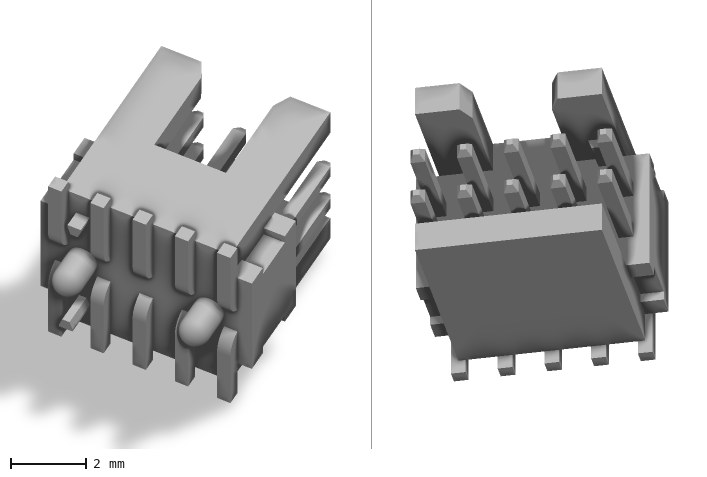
import cadquery as cq

pitch = 1.27
columns = 5
body_width = (columns - 1) * pitch
body_height = 4 * pitch
body_length = 5.715

block_width = body_width + pitch
block_height = 3.43
block_length = 2.52
notch_length = pitch
notch_depth = 0.25
notch_start = (block_length - notch_length) / 2

slot_width = 2.16
slot_mouth_width = 2.67
flare_length = 0.5

pin_size = 0.4
pin_tip_size = 0.17
pin_end = 5.555
taper_length = 0.22
row_height = pitch / 2
tail_reach = 2.92
bend_height = 0.6

peg_diameter = 0.88
peg_length = 1.265
peg_offset = 1.5 * pitch

key_wide = 0.4
key_narrow = 0.22
key_inner_height = 1.47
key_outer_height = 1.80
key_taper_height = block_height / 2
key_length = 3.98
upper_key_front = -0.5
lower_key_front = -0.975


def box(width, length, height, front=0.0, center_x=0.0, center_z=0.0):
    """Box centred in X and Z that starts at Y = front."""
    corner_box = cq.Workplane("XY").box(width, length, height, centered=(True, False, True))
    return corner_box.translate((center_x, front, center_z))


def make_shell():
    """Upper and lower walls joined by the block, with the block's side notches."""
    block = box(block_width, block_length, block_height)
    side_width = (block_width - body_width) / 2
    for side in (-1, 1):
        for level in (-1, 1):
            notch = box(
                side_width,
                notch_length,
                notch_depth,
                front=notch_start,
                center_x=side * (body_width + side_width) / 2,
                center_z=level * (block_height - notch_depth) / 2,
            )
            block = block.cut(notch)

    wall_thickness = (body_height - block_height) / 2
    wall_center = (body_height + block_height) / 4
    for level in (-1, 1):
        wall = box(body_width, body_length, wall_thickness, center_z=level * wall_center)
        block = block.union(wall)
    return block


def make_slot():
    """Flared slot that opens the mating end of the upper wall."""
    half_slot = slot_width / 2
    half_mouth = slot_mouth_width / 2
    flare_start = body_length - flare_length
    outline = [
        (-half_slot, block_length),
        (half_slot, block_length),
        (half_slot, flare_start),
        (half_mouth, body_length),
        (-half_mouth, body_length),
        (-half_slot, flare_start),
    ]
    return cq.Workplane("XY").polyline(outline).close().extrude(body_height / 2)


def make_peg():
    """Locating peg with a hemispherical end, pointing along -Y from the mounting face."""
    radius = peg_diameter / 2
    return (
        cq.Workplane("XY")
        .lineTo(-radius, 0)
        .lineTo(-radius, radius - peg_length)
        .radiusArc((0, -peg_length), -radius)
        .close()
        .revolve(360, (0, 0), (0, 1))
    )


def make_contact():
    """Mating pin and soldering tail of one upper-row contact at X = 0, as two pieces."""
    taper_start = pin_end - taper_length
    shank = box(pin_size, taper_start - block_length, pin_size, front=block_length, center_z=row_height)
    tip = (
        shank.faces(">Y")
        .workplane(centerOption="CenterOfBoundBox")
        .rect(pin_size, pin_size)
        .workplane(offset=taper_length)
        .rect(pin_tip_size, pin_tip_size)
        .loft(combine=False)
    )

    bend_bottom = row_height - pin_size / 2
    bend_top = bend_bottom + bend_height
    bend_radius = (bend_height**2 + pin_size**2) / (2 * pin_size)
    tail = (
        cq.Workplane("YZ")
        .moveTo(0, bend_bottom)
        .radiusArc((-pin_size, bend_top), bend_radius)
        .lineTo(-pin_size, tail_reach)
        .lineTo(0, tail_reach)
        .close()
        .extrude(pin_size / 2, both=True)
    )
    return shank.union(tip), tail


def make_housing():
    """Shell with its pegs and two mirrored rows of contacts, as one solid."""
    housing = make_shell().cut(make_slot())
    for side in (-1, 1):
        housing = housing.union(make_peg().translate((side * peg_offset, 0, 0)))
    for column in range(columns):
        x = (column - (columns - 1) / 2) * pitch
        for part in make_contact():
            upper = part.translate((x, 0, 0))
            housing = housing.union(upper).union(upper.mirror("XY"))
    return housing


def make_key(front):
    """Upper key bar whose exposed end is at Y = front."""
    outline = [
        (-peg_offset - key_wide / 2, key_outer_height),
        (-peg_offset + key_wide / 2, key_outer_height),
        (-peg_offset + key_wide / 2, key_taper_height),
        (-peg_offset + key_narrow / 2, key_inner_height),
        (-peg_offset - key_narrow / 2, key_inner_height),
        (-peg_offset - key_wide / 2, key_taper_height),
    ]
    bar = cq.Workplane("XZ").polyline(outline).close().extrude(-key_length)
    return bar.translate((0, front, 0))


upper_key = make_key(upper_key_front)
lower_key = make_key(lower_key_front).mirror("XY")
housing = make_housing().cut(upper_key).cut(lower_key)

result = cq.Compound.makeCompound([housing.val(), upper_key.val(), lower_key.val()])